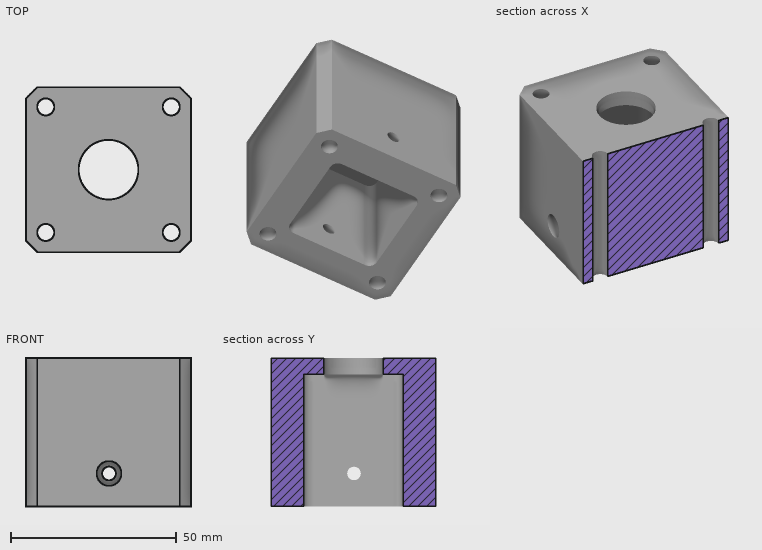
import cadquery as cq

width = 50.0
height = 45.0
corner_chamfer = 3.46

plate_thickness = 5.0
wall_thickness = 10.0
cavity_corner_radius = 2.6
cavity_width = width - 2 * wall_thickness
cavity_height = height - plate_thickness

bore_diameter = 18.0
screw_diameter = 5.1
screw_spacing = 38.0

cross_hole_diameter = 4.1
counterbore_diameter = 7.5
counterbore_depth = 5.0
cross_hole_x = 0.15
cross_hole_z = 10.0


def make_block():
    """Square block with its four upright edges chamfered."""
    block = cq.Workplane("XY").rect(width, width).extrude(height)
    return block.edges("|Z").chamfer(corner_chamfer)


def make_cavity():
    """Square cavity with rounded upright corners."""
    cavity = cq.Workplane("XY").rect(cavity_width, cavity_width).extrude(cavity_height)
    return cavity.edges("|Z").fillet(cavity_corner_radius)


def make_bore():
    """Central bore through the top plate."""
    return cq.Workplane("XY").circle(bore_diameter / 2).extrude(height)


def make_screw_holes():
    """Four screw holes running the full height near the corners."""
    centres = cq.Workplane("XY").rect(screw_spacing, screw_spacing, forConstruction=True).vertices()
    return centres.circle(screw_diameter / 2).extrude(height)


def cylinder_from_front(diameter, depth):
    """Cylinder on the cross hole axis, starting at the front face and running toward +Y."""
    front = cq.Workplane("XZ", origin=(cross_hole_x, -width / 2, cross_hole_z))
    return front.circle(diameter / 2).extrude(-depth)


result = (
    make_block()
    .cut(make_cavity())
    .cut(make_bore())
    .cut(make_screw_holes())
    .cut(cylinder_from_front(cross_hole_diameter, width))
    .cut(cylinder_from_front(counterbore_diameter, counterbore_depth))
)